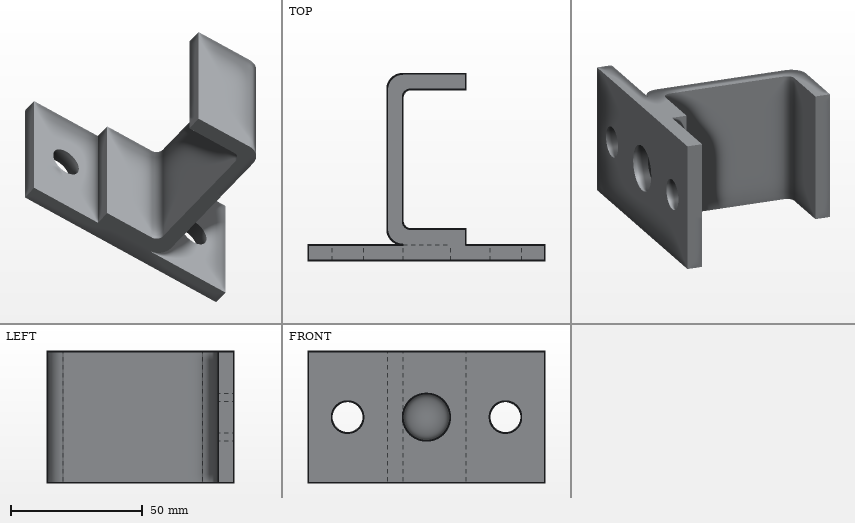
import cadquery as cq

plate_length = 90.0
height = 50.0
thickness = 6.0

channel_width = 30.0
channel_depth = 65.0
outer_bend_radius = 6.0
inner_bend_radius = 3.0

mounting_hole_diameter = 12.0
mounting_hole_spacing = 60.0
center_hole_diameter = 18.0
center_hole_depth = thickness


def make_plate():
    """Flat mounting plate with its front face on Y = 0."""
    return cq.Workplane("XY").box(plate_length, thickness, height, centered=(True, False, True))


def make_channel():
    """U-shaped channel behind the plate, open toward +X."""
    outer = (
        cq.Workplane("XY")
        .box(channel_width, channel_depth, height, centered=(True, False, True))
        .edges("|Z and <X")
        .fillet(outer_bend_radius)
    )
    inner = (
        cq.Workplane("XY")
        .box(channel_width, channel_depth - 2 * thickness, height, centered=(True, False, True))
        .edges("|Z and <X")
        .fillet(inner_bend_radius)
        .translate((thickness, thickness, 0))
    )
    return outer.cut(inner).translate((0, thickness, 0))


def make_hole(x, diameter, depth):
    """Cylinder running from the plate's front face toward +Y."""
    return cq.Workplane("XZ").center(x, 0).circle(diameter / 2).extrude(-depth)


result = make_plate().union(make_channel())
for side in (-1, 1):
    result = result.cut(make_hole(side * mounting_hole_spacing / 2, mounting_hole_diameter, thickness))
result = result.cut(make_hole(0, center_hole_diameter, center_hole_depth))